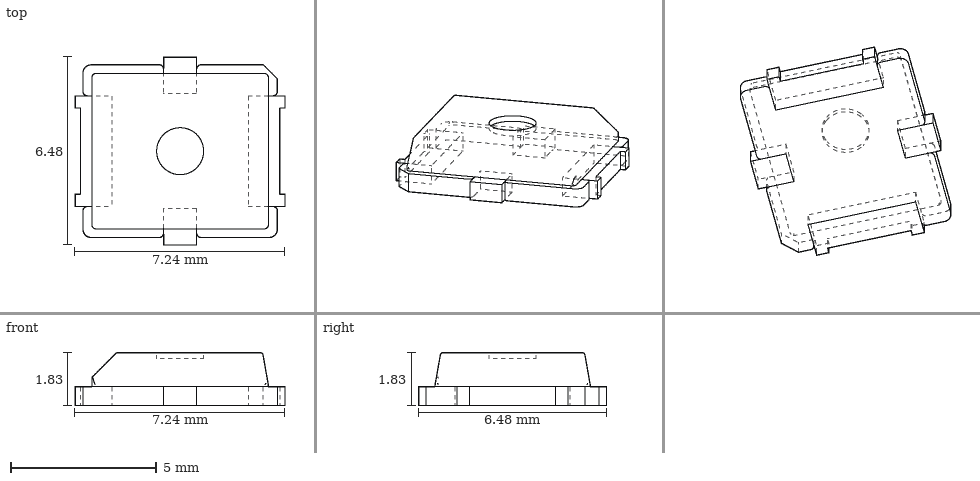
import cadquery as cq
import math

overall_length = 7.24
overall_width = 6.48
overall_height = 1.83

base_length = 6.71
base_width = 5.96
base_height = 0.66
base_corner_radius = 0.29
base_chamfer = 0.49
notch_edge_radius = 0.15

side_lead_width = 3.82
side_lead_length = 6.87
prong_width = 0.43

tab_width = 1.14

lead_embed = 1.0

cover_length = 6.09
cover_width = 5.36
draft_angle = 10
slope_wall_height = 0.315
slope_run = 0.85
wall_height = 0.05
cover_corner_radius = 0.15
cover_edge_radius = 0.1
recess_diameter = 1.62
recess_depth = 0.2


def make_side_lead():
    """Flat lead on the +X end, with a prong at each end of its outer edge."""
    inner_x = base_length / 2 - lead_embed
    strip_length = side_lead_length / 2 - inner_x
    prong_length = overall_length / 2 - inner_x
    lead = cq.Workplane("XY").box(strip_length, side_lead_width, base_height, centered=(False, True, False))
    prong_offset = (side_lead_width - prong_width) / 2
    for side in (-1, 1):
        prong = (
            cq.Workplane("XY")
            .center(0, side * prong_offset)
            .box(prong_length, prong_width, base_height, centered=(False, True, False))
        )
        lead = lead.union(prong)
    return lead.translate((inner_x, 0, 0))


def make_end_tab():
    """Plain rectangular tab on the +Y end."""
    inner_y = base_width / 2 - lead_embed
    tab_length = overall_width / 2 - inner_y
    tab = cq.Workplane("XY").box(tab_width, tab_length, base_height, centered=(True, False, False))
    return tab.translate((0, inner_y, 0))


def make_base():
    """Plate with one chamfered corner, three round corners and a notch for each lead and tab."""
    base = cq.Workplane("XY").box(base_length, base_width, base_height, centered=(True, True, False))
    base = base.edges("|Z and >X and >Y").chamfer(base_chamfer)
    base = base.edges("|Z and (<X or <Y)").fillet(base_corner_radius)

    side_notches = cq.Workplane("XY").pushPoints([(-base_length / 2, 0), (base_length / 2, 0)])
    base = base.cut(side_notches.rect(2 * lead_embed, side_lead_width).extrude(base_height))
    end_notches = cq.Workplane("XY").pushPoints([(0, -base_width / 2), (0, base_width / 2)])
    base = base.cut(end_notches.rect(tab_width, 2 * lead_embed).extrude(base_height))

    margin = notch_edge_radius / 2
    for side in (-1, 1):
        side_mouth = cq.selectors.BoxSelector(
            (side * base_length / 2 - margin, -side_lead_width / 2 - margin, 0),
            (side * base_length / 2 + margin, side_lead_width / 2 + margin, base_height),
        )
        base = base.edges(side_mouth).edges("|Z").fillet(notch_edge_radius)
        end_mouth = cq.selectors.BoxSelector(
            (-tab_width / 2 - margin, side * base_width / 2 - margin, 0),
            (tab_width / 2 + margin, side * base_width / 2 + margin, base_height),
        )
        base = base.edges(end_mouth).edges("|Z").fillet(notch_edge_radius)
    return base


def make_cover():
    """Drafted cover with a long slope on -X, rounded edges and a round recess in its top."""
    half_length = cover_length / 2
    half_width = cover_width / 2
    wall_top = base_height + wall_height
    draft_inset = (overall_height - wall_top) * math.tan(math.radians(draft_angle))

    long_section = (
        cq.Workplane("XZ")
        .moveTo(-half_length, base_height)
        .lineTo(half_length, base_height)
        .lineTo(half_length, wall_top)
        .lineTo(half_length - draft_inset, overall_height)
        .lineTo(-half_length + slope_run, overall_height)
        .lineTo(-half_length, base_height + slope_wall_height)
        .close()
        .extrude(half_width, both=True)
    )
    cross_section = (
        cq.Workplane("YZ")
        .moveTo(-half_width, base_height)
        .lineTo(half_width, base_height)
        .lineTo(half_width, wall_top)
        .lineTo(half_width - draft_inset, overall_height)
        .lineTo(-half_width + draft_inset, overall_height)
        .lineTo(-half_width, wall_top)
        .close()
        .extrude(half_length, both=True)
    )
    cover = long_section.intersect(cross_section)
    rounded_edges = cover.edges("((not #Z) or >Z or (|Y and <X)) and (not <Z)")
    rounded_edges = rounded_edges.edges("|Y or (not <X)")
    cover = rounded_edges.fillet(cover_edge_radius)

    wall_prism = (
        cq.Workplane("XY")
        .workplane(offset=base_height)
        .rect(cover_length, cover_width)
        .extrude(overall_height - base_height)
        .edges("|Z")
        .fillet(cover_corner_radius)
    )
    cover = cover.intersect(wall_prism)

    recess = (
        cq.Workplane("XY")
        .workplane(offset=overall_height - recess_depth)
        .circle(recess_diameter / 2)
        .extrude(recess_depth)
    )
    return cover.cut(recess)


base = make_base()
cover = make_cover()
right_lead = make_side_lead()
back_tab = make_end_tab()
side_leads = [right_lead.rotate((0, 0, 0), (0, 0, 1), angle) for angle in (0, 180)]
end_tabs = [back_tab.rotate((0, 0, 0), (0, 0, 1), angle) for angle in (0, 180)]

result = cq.Compound.makeCompound(
    [base.val(), cover.val(), *[lead.val() for lead in side_leads], *[tab.val() for tab in end_tabs]]
)